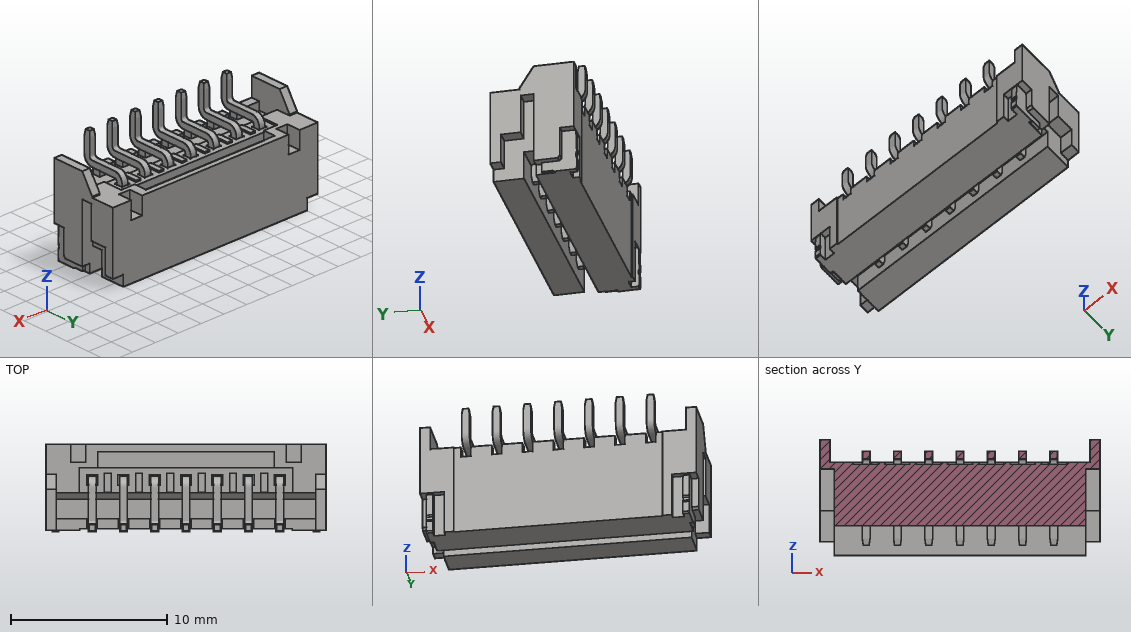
import cadquery as cq


LENGTH = 17.95
HALF_LENGTH = LENGTH / 2
DEPTH = 5.51
DECK_Z = 5.98
PANEL_HALF = 6.79
PANEL_SETBACK = 0.09

EAR_THICKNESS = 0.66
EAR_TOP_Z = 7.54
EAR_TOP_BACK = 2.64
EAR_SLOPE_BACK = 3.57
EAR_SLOPE_Z = 6.07

SHELF_BACK = 0.74
TROUGH_Z = 5.31
TROUGH_BACK = 2.0
SLOPE_TOP_BACK = 2.4
STEP_Z = 5.85
STEP_HALF = 6.84
STEP_BACK = 4.0

POCKET_HALF = 5.65
POCKET_BACK = 5.03
POCKET_DEPTH = 0.74
NOTCH_INNER = 6.4
NOTCH_OUTER = 7.38
NOTCH_FRONT = 4.36
NOTCH_DEPTH = 1.44

PIN_COUNT = 7
PIN_ROW = 12.0
PITCH = PIN_ROW / (PIN_COUNT - 1)
PIN_SIZE = 0.5
PIN_TIP_SIZE = 0.38
PIN_TAPER = 0.43
PIN_TOP_Z = 8.65
PIN_BOTTOM_Z = 0.66
PIN_FRONT = -0.09
PIN_BACK = 3.46
PIN_RUN_Z = 6.17
BEND_INNER = 0.22
BEND_OUTER = BEND_INNER + PIN_SIZE
PIN_HOLE_WIDTH = 0.7
PIN_HOLE_LENGTH = 0.66
PIN_HOLE_DEPTH = 0.54
FRONT_SLOT = 0.66

RIB_WIDTH = 0.43
RIB_FRONT = 2.45
RIB_BACK = 3.66

SIDE_RECESS = 0.92
SIDE_FLOOR = HALF_LENGTH - SIDE_RECESS
SIDE_FRONT = EAR_TOP_BACK
SIDE_MIDDLE = 3.5
SIDE_REAR = 4.8
SIDE_TALL_Z = 5.53
SIDE_MIDDLE_Z = 2.87
SIDE_LOW_Z = 0.88
SLOT_Z = 1.9

CLIP_OUTER = 8.55
CLIP_INNER = 8.13
CLIP_FRONT = PIN_FRONT
CLIP_BACK = 2.2
CLIP_TOP_Z = 2.82
CLIP_BEVEL_Z = 2.71
CLIP_FOOT_Z = 0.72
CLIP_ARM = 0.9
CLIP_CORNER = 0.16
CLIP_GROOVE_TOP = 1.25
CLIP_GROOVE_BOTTOM = 0.8
CLIP_GROOVE_BEVEL = 0.13
CLIP_TOE = 0.13
CLIP_LIFT = 0.07
CLIP_LIFT_FRONT = 1.38
CLIP_LIFT_BACK = 1.5
CLIP_SEAT_TOP_Z = 2.87
CLIP_SEAT = 8.33
CLIP_BAY_INNER = 7.4
CLIP_BAY_DEPTH = 0.43


def block(x0, x1, y0, y1, z0, z1):
    """Box between two corner points."""
    size = (x1 - x0, y1 - y0, z1 - z0)
    return cq.Workplane("XY").box(*size, centered=False).translate((x0, y0, z0))


def extrude_yz(points, x0, x1):
    """Prism with a closed (Y, Z) outline, from x0 to x1."""
    return cq.Workplane("YZ").polyline(points).close().extrude(x1 - x0).translate((x0, 0, 0))


def both_ends(shape):
    """Shape together with its mirror image at the other end."""
    return shape.union(shape.mirror("YZ"))


def pin_positions():
    return [-PIN_ROW / 2 + i * PITCH for i in range(PIN_COUNT)]


def housing():
    body = block(-HALF_LENGTH, HALF_LENGTH, 0, DEPTH, 0, DECK_Z)
    ear_outline = [
        (0, DECK_Z),
        (0, EAR_TOP_Z),
        (EAR_TOP_BACK, EAR_TOP_Z),
        (EAR_SLOPE_BACK, EAR_SLOPE_Z),
        (EAR_SLOPE_BACK, DECK_Z),
    ]
    ear_inner = HALF_LENGTH - EAR_THICKNESS
    body = body.union(both_ends(extrude_yz(ear_outline, ear_inner, HALF_LENGTH)))
    body = body.cut(block(-PANEL_HALF, PANEL_HALF, 0, PANEL_SETBACK, 0, DECK_Z))
    trough_outline = [
        (SHELF_BACK, DECK_Z),
        (SHELF_BACK, TROUGH_Z),
        (TROUGH_BACK, TROUGH_Z),
        (SLOPE_TOP_BACK, STEP_Z),
        (SLOPE_TOP_BACK, DECK_Z),
    ]
    return body.cut(extrude_yz(trough_outline, -ear_inner, ear_inner))


def deck_cuts():
    """Stepped-down deck, rear pocket and rear notches."""
    step = block(-STEP_HALF, STEP_HALF, SLOPE_TOP_BACK, STEP_BACK, STEP_Z, DECK_Z)
    pocket = block(-POCKET_HALF, POCKET_HALF, STEP_BACK, POCKET_BACK, DECK_Z - POCKET_DEPTH, DECK_Z)
    notch = block(NOTCH_INNER, NOTCH_OUTER, NOTCH_FRONT, DEPTH, DECK_Z - NOTCH_DEPTH, DECK_Z)
    return step.union(pocket).union(both_ends(notch))


def end_cuts():
    """Stepped recesses in the end faces and the slot along the bottom."""
    tall = block(SIDE_FLOOR, HALF_LENGTH, SIDE_FRONT, SIDE_MIDDLE, 0, SIDE_TALL_Z)
    middle = block(SIDE_FLOOR, HALF_LENGTH, SIDE_MIDDLE, SIDE_REAR, 0, SIDE_MIDDLE_Z)
    low = block(SIDE_FLOOR, HALF_LENGTH, SIDE_REAR, DEPTH, 0, SIDE_LOW_Z)
    slot = block(-HALF_LENGTH, HALF_LENGTH, SIDE_FRONT, SIDE_MIDDLE, 0, SLOT_Z)
    return both_ends(tall.union(middle).union(low)).union(slot)


def clip_cuts():
    """Recess for each clip: an L in the end face and a shallow bay in the front."""
    seat_outline = [
        (0, 0),
        (0, CLIP_SEAT_TOP_Z),
        (CLIP_ARM, CLIP_SEAT_TOP_Z),
        (CLIP_ARM, CLIP_FOOT_Z + CLIP_CORNER),
        (CLIP_ARM + CLIP_CORNER, CLIP_FOOT_Z),
        (SIDE_FRONT, CLIP_FOOT_Z),
        (SIDE_FRONT, 0),
    ]
    seat = extrude_yz(seat_outline, CLIP_SEAT, HALF_LENGTH)
    bay = block(CLIP_BAY_INNER, CLIP_SEAT, 0, CLIP_BAY_DEPTH, 0, CLIP_SEAT_TOP_Z)
    return both_ends(seat.union(bay))


def clips():
    half_front = CLIP_FRONT / 2
    outline = [
        (0, CLIP_TOP_Z),
        (half_front, CLIP_BEVEL_Z),
        (CLIP_FRONT, CLIP_GROOVE_TOP),
        (half_front, CLIP_GROOVE_TOP - CLIP_GROOVE_BEVEL),
        (half_front, CLIP_GROOVE_BOTTOM + CLIP_GROOVE_BEVEL),
        (CLIP_FRONT, CLIP_GROOVE_BOTTOM),
        (CLIP_FRONT, CLIP_TOE),
        (half_front, 0),
        (CLIP_LIFT_FRONT, 0),
        (CLIP_LIFT_BACK, CLIP_LIFT),
        (CLIP_BACK, CLIP_LIFT),
        (CLIP_BACK, CLIP_FOOT_Z),
        (CLIP_ARM + CLIP_CORNER, CLIP_FOOT_Z),
        (CLIP_ARM, CLIP_FOOT_Z + CLIP_CORNER),
        (CLIP_ARM, CLIP_TOP_Z),
    ]
    return both_ends(extrude_yz(outline, CLIP_INNER, CLIP_OUTER))


def pin_tip(x, y, z, direction):
    """Tapered end of a pin, pointing up (direction 1) or down (-1)."""
    base = cq.Workplane("XY").rect(PIN_SIZE, PIN_SIZE)
    tip = base.workplane(offset=direction * PIN_TAPER).rect(PIN_TIP_SIZE, PIN_TIP_SIZE).loft()
    return tip.translate((x, y, z))


def pin(x):
    """Square pin: up from the slot, forward over the shelf, then up again."""
    half = PIN_SIZE / 2
    upper_base_z = PIN_TOP_Z - PIN_TAPER
    lower_base_z = PIN_BOTTOM_Z + PIN_TAPER
    run_top_z = PIN_RUN_Z + PIN_SIZE
    upper = block(x - half, x + half, PIN_FRONT, PIN_FRONT + PIN_SIZE, PIN_RUN_Z, upper_base_z)
    lower = block(x - half, x + half, PIN_BACK - PIN_SIZE, PIN_BACK, lower_base_z, run_top_z)
    run = block(x - half, x + half, PIN_FRONT, PIN_BACK, PIN_RUN_Z, run_top_z)
    shape = upper.union(lower).union(run)
    front_inner = cq.selectors.NearestToPointSelector((x, PIN_FRONT + PIN_SIZE, run_top_z))
    back_inner = cq.selectors.NearestToPointSelector((x, PIN_BACK - PIN_SIZE, PIN_RUN_Z))
    front_outer = cq.selectors.NearestToPointSelector((x, PIN_FRONT, PIN_RUN_Z))
    back_outer = cq.selectors.NearestToPointSelector((x, PIN_BACK, run_top_z))
    shape = shape.edges(front_inner).fillet(BEND_INNER)
    shape = shape.edges(back_inner).fillet(BEND_INNER)
    shape = shape.edges(front_outer).fillet(BEND_OUTER)
    shape = shape.edges(back_outer).fillet(BEND_OUTER)
    shape = shape.union(pin_tip(x, PIN_FRONT + half, upper_base_z, 1))
    return shape.union(pin_tip(x, PIN_BACK - half, lower_base_z, -1))


def pin_clearance(x):
    """Hole around the pin in the stepped deck and the slot through the front shelf."""
    half_width = PIN_HOLE_WIDTH / 2
    half_length = PIN_HOLE_LENGTH / 2
    half_slot = FRONT_SLOT / 2
    pin_y = PIN_BACK - PIN_SIZE / 2
    hole = block(x - half_width, x + half_width, pin_y - half_length, pin_y + half_length,
                 STEP_Z - PIN_HOLE_DEPTH, STEP_Z)
    slot = block(x - half_slot, x + half_slot, 0, SHELF_BACK, TROUGH_Z, DECK_Z)
    return hole.union(slot)


def rib(x):
    half = RIB_WIDTH / 2
    return block(x - half, x + half, RIB_FRONT, RIB_BACK, STEP_Z, DECK_Z)


result = housing().cut(deck_cuts()).cut(end_cuts()).cut(clip_cuts()).union(clips())
for pin_x in pin_positions():
    result = result.cut(pin_clearance(pin_x)).union(pin(pin_x))
for pin_x in pin_positions()[:-1]:
    result = result.union(rib(pin_x + PITCH / 2))